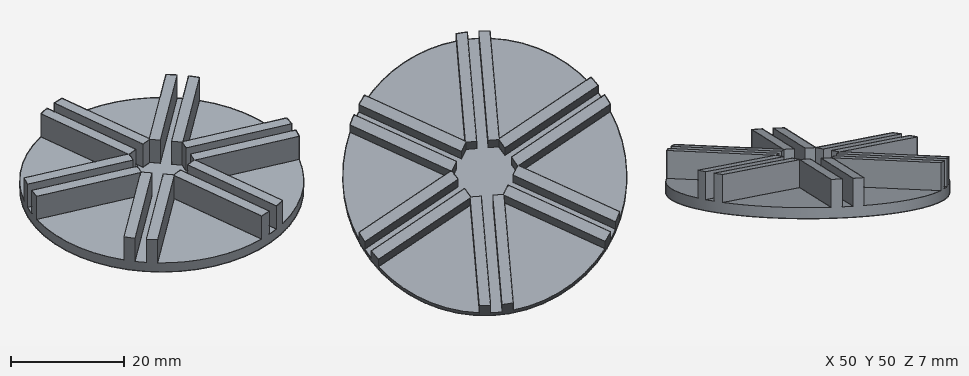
import cadquery as cq

disc_diameter = 50.0
disc_thickness = 2.0

channel_count = 6
channel_width = 2.0
rib_thickness = 2.0
rib_height = 5.0
hub_apothem = 5.0

disc_radius = disc_diameter / 2
rib_length = disc_radius - hub_apothem
rib_middle = hub_apothem + rib_length / 2
rib_offset = (channel_width + rib_thickness) / 2


def make_disc(thickness):
    return cq.Workplane("XY").circle(disc_radius).extrude(thickness)


def make_rib_pair():
    """Two parallel ribs running along +Y, one on each side of a channel."""
    return (
        cq.Workplane("XY")
        .pushPoints([(-rib_offset, rib_middle), (rib_offset, rib_middle)])
        .rect(rib_thickness, rib_length)
        .extrude(disc_thickness + rib_height)
    )


def make_part():
    envelope = make_disc(disc_thickness + rib_height)
    part = make_disc(disc_thickness)
    for index in range(channel_count):
        angle = index * 360.0 / channel_count
        pair = make_rib_pair().rotate((0, 0, 0), (0, 0, 1), angle)
        part = part.union(pair.intersect(envelope))
    return part


result = make_part()